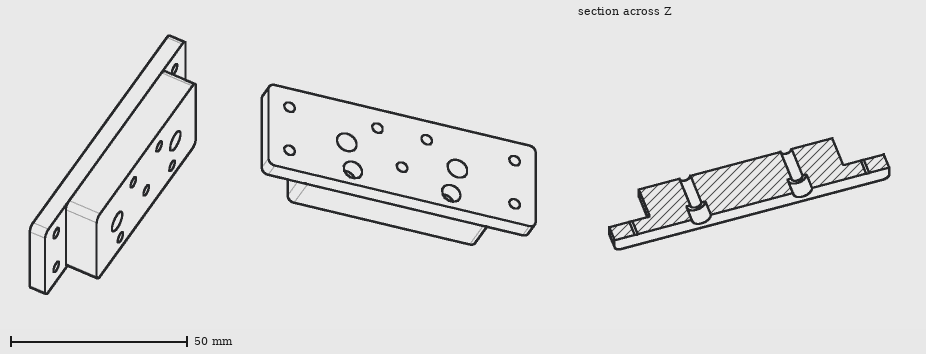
import cadquery as cq

total_depth = 15.0
plate_length = 82.0
plate_height = 27.9
plate_thickness = 5.0
block_length = 57.8
block_height = 27.8
corner_radius = 2.0

screw_diameter = 3.2
large_diameter = 6.0
counterbore_diameter = 5.6
counterbore_depth = plate_thickness

screw_row_z = 7.5
end_screw_y = 34.5
inner_screw_y = 7.55
centre_screw_z = -4.0
large_hole_y = 17.0
counterbored_y = 15.1
counterbored_z = -9.0

front_x = -total_depth / 2


def rounded_slab(length, height, start_x, thickness):
    """Slab standing in the YZ plane, with its four corners rounded."""
    return (
        cq.Workplane("YZ", origin=(start_x, 0, 0))
        .rect(length, height)
        .extrude(thickness)
        .edges("|X")
        .fillet(corner_radius)
    )


def bores(points, diameter, depth):
    """Round cutters running from the front face of the plate toward +X."""
    return (
        cq.Workplane("YZ", origin=(front_x, 0, 0))
        .pushPoints(points)
        .circle(diameter / 2)
        .extrude(depth)
    )


def mirrored_pair(y, z):
    """Two points placed symmetrically about the middle of the plate."""
    return [(-y, z), (y, z)]


plate = rounded_slab(plate_length, plate_height, front_x, plate_thickness)
block_start_x = front_x + plate_thickness
block = rounded_slab(block_length, block_height, block_start_x, total_depth - plate_thickness)
body = plate.union(block)

counterbored_points = mirrored_pair(counterbored_y, counterbored_z)
screw_points = (
    mirrored_pair(end_screw_y, screw_row_z)
    + mirrored_pair(end_screw_y, -screw_row_z)
    + mirrored_pair(inner_screw_y, screw_row_z)
    + [(0, centre_screw_z)]
    + counterbored_points
)
large_points = mirrored_pair(large_hole_y, 0)

result = (
    body.cut(bores(screw_points, screw_diameter, total_depth))
    .cut(bores(large_points, large_diameter, total_depth))
    .cut(bores(counterbored_points, counterbore_diameter, counterbore_depth))
)